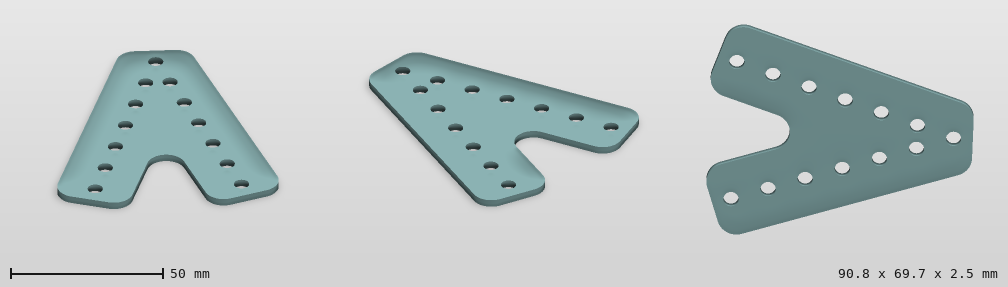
import cadquery as cq
import math

overall_length = 90.8
thickness = 2.5
hole_diameter = 5.0
holes_per_arm = 7
arm_angle = -math.atan2(3, 4)

half_width_pitches = 1.0
margin_pitches = 0.5
radius_pitches = 0.5

bisector_angle = arm_angle / 2
heel_center_pitches = (half_width_pitches - radius_pitches) * math.tan(-bisector_angle)
heel_pitches = heel_center_pitches + radius_pitches
length_pitches = heel_pitches + holes_per_arm - 1 + margin_pitches
pitch = overall_length / length_pitches

half_width = half_width_pitches * pitch
margin = margin_pitches * pitch
corner_radius = radius_pitches * pitch
arm_end = (holes_per_arm - 1) * pitch + margin


def turned(along, across, angle):
    """Point given along and across a direction through the shared hole."""
    return (
        along * math.cos(angle) - across * math.sin(angle),
        along * math.sin(angle) + across * math.cos(angle),
    )


heel_half_length = (half_width - margin * math.sin(-bisector_angle)) / math.cos(bisector_angle)
crotch_distance = half_width / math.sin(-bisector_angle)

outline = [
    turned(-margin, heel_half_length, bisector_angle),
    (arm_end, half_width),
    (arm_end, -half_width),
    turned(crotch_distance, 0, bisector_angle),
    turned(arm_end, half_width, arm_angle),
    turned(arm_end, -half_width, arm_angle),
    turned(-margin, -heel_half_length, bisector_angle),
]

plate = (
    cq.Workplane("XY")
    .polyline(outline)
    .close()
    .extrude(thickness)
    .edges("|Z")
    .fillet(corner_radius)
)

hole_centers = [(0, 0)]
for angle in (0, arm_angle):
    for index in range(1, holes_per_arm):
        hole_centers.append(turned(index * pitch, 0, angle))

holes = (
    cq.Workplane("XY")
    .pushPoints(hole_centers)
    .circle(hole_diameter / 2)
    .extrude(thickness)
)

result = plate.cut(holes)